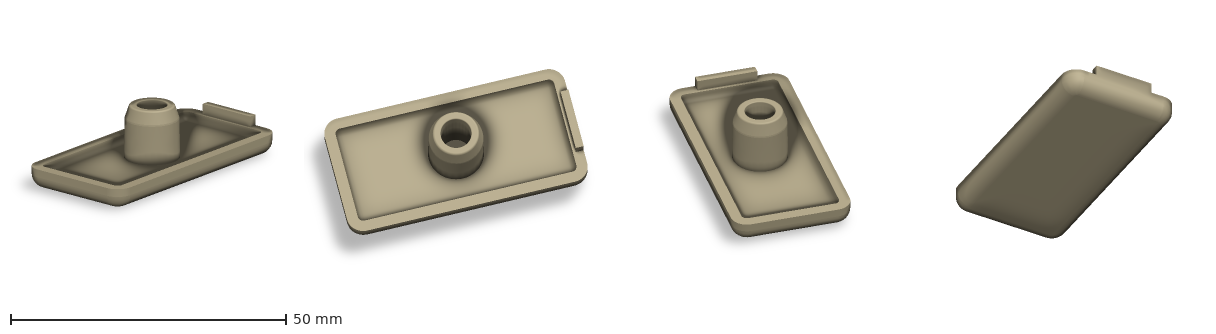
import cadquery as cq

plate_width = 22.5
plate_length = 45.0
plate_height = 4.0
plate_corner_radius = 3.0
bottom_edge_radius = 2.5

rim_width = 2.02
recess_depth = 1.5
recess_radius = 1.0
floor_z = plate_height - recess_depth

tab_width = 11.35
tab_thickness = 1.5
tab_height = 2.02

post_top_z = 12.5
post_base_radius = 10.2 / 2
shoulder_radius = 5.0
shoulder_z = 10.05
post_tip_radius = 4.15
shoulder_blend = 1.0
tip_blend = 0.4
bore_mouth_radius = 2.8
bore_floor_radius = 2.55
bore_mouth_blend = 0.2


def make_plate():
    """Rounded plate with a full-round lower edge and a filleted recess."""
    plate = (
        cq.Workplane("XY")
        .rect(plate_width, plate_length)
        .extrude(plate_height)
        .edges("|Z")
        .fillet(plate_corner_radius)
        .faces("<Z")
        .edges()
        .fillet(bottom_edge_radius)
    )
    recess = (
        cq.Workplane("XY", origin=(0, 0, floor_z))
        .rect(plate_width - 2 * rim_width, plate_length - 2 * rim_width)
        .extrude(2 * recess_depth)
        .edges("|Z")
        .fillet(recess_radius)
        .faces("<Z")
        .edges()
        .fillet(recess_radius)
    )
    return plate.cut(recess)


def make_tab():
    """Upright tab flush with the outer +Y side."""
    tab_center_y = (plate_length - tab_thickness) / 2
    return (
        cq.Workplane("XY", origin=(0, tab_center_y, floor_z))
        .rect(tab_width, tab_thickness)
        .extrude(recess_depth + tab_height)
    )


def make_post():
    """Tapered post with a narrowed tip and a blind bore down to the recess floor."""
    post = (
        cq.Workplane("XZ")
        .moveTo(0, floor_z)
        .lineTo(post_base_radius, floor_z)
        .lineTo(shoulder_radius, shoulder_z)
        .lineTo(post_tip_radius, post_top_z)
        .lineTo(0, post_top_z)
        .close()
        .revolve(360, (0, 0), (0, 1))
    )
    shoulder_zone = cq.selectors.BoxSelector(
        (-post_base_radius, -post_base_radius, shoulder_z - shoulder_blend),
        (post_base_radius, post_base_radius, shoulder_z + shoulder_blend),
    )
    round_edges = cq.selectors.TypeSelector("CIRCLE")
    shoulder_edge = cq.selectors.AndSelector(shoulder_zone, round_edges)
    post = post.edges(shoulder_edge).fillet(shoulder_blend)
    post = post.faces(">Z").edges().fillet(tip_blend)
    bore = (
        cq.Workplane("XZ")
        .moveTo(0, floor_z)
        .lineTo(bore_floor_radius, floor_z)
        .lineTo(bore_mouth_radius, post_top_z)
        .lineTo(0, post_top_z)
        .close()
        .revolve(360, (0, 0), (0, 1))
    )
    post = post.cut(bore)
    return post.faces(">Z").edges(cq.selectors.RadiusNthSelector(0)).fillet(bore_mouth_blend)


result = make_plate().union(make_tab()).union(make_post())